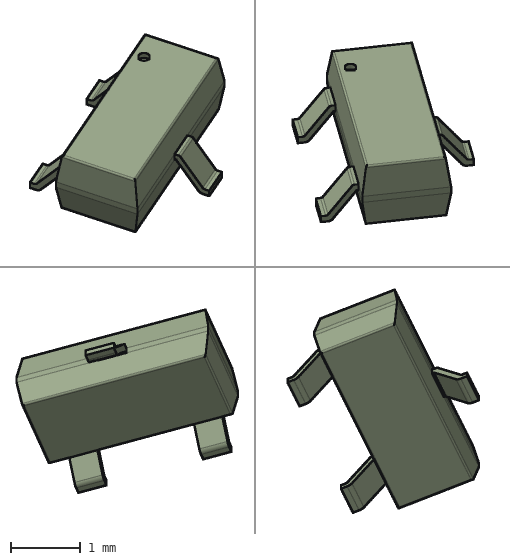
import cadquery as cq
import math

overall_width = 2.4
overall_height = 1.1

housing_length = 2.92
housing_width = 1.3
standoff = 0.05
draft_angle = 8.0
rim_radius = 0.03

lead_thickness = 0.108
lead_width = 0.43
lead_spacing = 1.9
shoulder_length = 0.082
foot_length = 0.09
foot_radius = 0.045
heel_radius = 0.093
shoulder_radius = 0.045

belt_top = 0.613
belt_bottom = belt_top - lead_thickness

marker_diameter = 0.164
marker_depth = 0.1
marker_side_inset = 0.257
marker_end_inset = 0.505


def make_housing():
    """Belted, tapered housing with rounded rims and a marker recess."""
    upper = (
        cq.Workplane("XY", origin=(0, 0, belt_top))
        .rect(housing_width, housing_length)
        .extrude(overall_height - belt_top, taper=draft_angle)
        .faces(">Z").edges().fillet(rim_radius)
    )
    lower = (
        cq.Workplane("XY", origin=(0, 0, belt_bottom))
        .rect(housing_width, housing_length)
        .extrude(standoff - belt_bottom, taper=draft_angle)
        .faces("<Z").edges().fillet(rim_radius)
    )
    belt = (
        cq.Workplane("XY", origin=(0, 0, belt_bottom))
        .rect(housing_width, housing_length)
        .extrude(lead_thickness)
    )
    marker_x = marker_side_inset - housing_width / 2
    marker_y = housing_length / 2 - marker_end_inset
    marker = (
        cq.Workplane("XY", origin=(marker_x, marker_y, overall_height - marker_depth))
        .circle(marker_diameter / 2)
        .extrude(marker_depth)
    )
    return belt.union(upper).union(lower).cut(marker)


def make_lead(side, y):
    """Gull-wing lead centred at y; side is -1 for the -X side and +1 for +X."""
    root_x = housing_width / 2
    tip_x = overall_width / 2
    shoulder_x = root_x + shoulder_length
    foot_x = tip_x - foot_length
    slope_angle = math.atan2(belt_top - lead_thickness, foot_x - shoulder_x)
    corner_shift = lead_thickness * math.tan(slope_angle / 2)
    underside_shoulder_x = shoulder_x - corner_shift
    heel_x = foot_x - corner_shift

    outline = [
        (root_x, belt_top),
        (shoulder_x, belt_top),
        (foot_x, lead_thickness),
        (tip_x, lead_thickness),
        (tip_x, 0),
        (heel_x, 0),
        (underside_shoulder_x, belt_bottom),
        (root_x, belt_bottom),
    ]
    lead = (
        cq.Workplane("XZ", origin=(0, y + lead_width / 2, 0))
        .polyline([(side * x, z) for x, z in outline])
        .close()
        .extrude(lead_width)
    )
    bends = [
        (shoulder_x, belt_top, shoulder_radius),
        (foot_x, lead_thickness, foot_radius),
        (heel_x, 0, heel_radius),
    ]
    for x, z, radius in bends:
        corner = cq.selectors.NearestToPointSelector((side * x, y, z))
        lead = lead.edges("|Y").edges(corner).fillet(radius)
    return lead


housing = make_housing()

lead_places = [(-1, -lead_spacing / 2), (-1, lead_spacing / 2), (1, 0)]
leads = [make_lead(side, y).val() for side, y in lead_places]

result = cq.Compound.makeCompound([housing.val(), *leads])